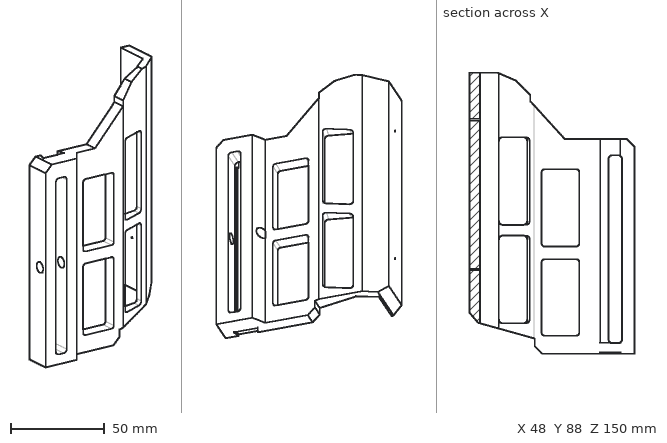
import cadquery as cq

WIDTH = 48.0
DEPTH = 88.0
HEIGHT = 150.0

FLANGE_INNER_Y = 82.4
FLANGE_END_X = 20.8
INNER_BEND = (29.4, 72.5)
OUTER_BEND = (31.6, 76.8)
WEB_INNER_X = 32.8
WEB_OUTER_X = 40.8
WEB_INNER_START_Y = 53.7
WEB_OUTER_START_Y = 55.5
RAIL_RAMP_START_Y = 25.2
RAIL_RAMP_END_Y = 20.4

SHOULDER_Z = 114.6
RAIL_CHAMFER = 4.0
SHOULDER_Y = 37.2
STEP_Y = 55.5
STEP_LOW_Z = 134.7
STEP_HIGH_Z = 138.0
CROWN = (63.3, 145.8)
CROWN_START_Y = 73.0
FLANGE_BOTTOM = (83.4, 16.5)
FLANGE_CHAMFER_TOP_Z = 21.9
FOOT_Y = 53.2
FOOT_TOP_Z = 8.1
FOOT_CHAMFER = 4.0

WEB_WINDOW_Y = (29.5, 49.5)
WEB_WINDOW_ROWS = ((9.8, 50.4), (57.3, 98.4))
WEB_WINDOW_RADIUS = 1.5

SLANT_WINDOW_Y = (56.0, 72.3)
SLANT_WINDOW_ROWS = ((16.4, 63.0), (68.8, 115.5))
SLANT_WINDOW_RADIUS = 2.0

GROOVE_MOUTH_Y = (7.5, 18.3)
GROOVE_FLOOR_Y = (6.0, 19.8)
GROOVE_DEPTH = 4.4
STOP_Z = (0.9, 5.8)

SLOT_Y = (6.8, 13.8)
SLOT_DIP_START_X = 35.7
SLOT_Z = (5.7, 105.9)
SLOT_RADIUS = 2.0

RAIL_HOLE_DIAMETER = 6.0
RAIL_HOLE_X = 42.8
RAIL_HOLE_Z = 55.4
PIN_HOLE_DIAMETER = 0.8
PIN_HOLE_X = 10.5
PIN_HOLE_ROWS = (45.0, 124.8)


def bent_wall():
    """Plan section of flange, bends, web and rail, over the full height."""
    section = [
        (0, DEPTH),
        (FLANGE_END_X, DEPTH),
        OUTER_BEND,
        (WEB_OUTER_X, WEB_OUTER_START_Y),
        (WEB_OUTER_X, RAIL_RAMP_START_Y),
        (WIDTH, RAIL_RAMP_END_Y),
        (WIDTH, 0),
        (WEB_INNER_X, 0),
        (WEB_INNER_X, WEB_INNER_START_Y),
        INNER_BEND,
        (FLANGE_END_X, FLANGE_INNER_Y),
        (0, FLANGE_INNER_Y),
    ]
    return cq.Workplane("XY").polyline(section).close().extrude(HEIGHT)


def side_outline():
    """Side outline, extruded along X to trim the bent wall."""
    outline = [
        (0, 0),
        (FOOT_Y - FOOT_CHAMFER, 0),
        (FOOT_Y, FOOT_CHAMFER),
        (FOOT_Y, FOOT_TOP_Z),
        FLANGE_BOTTOM,
        (DEPTH, FLANGE_CHAMFER_TOP_Z),
        (DEPTH, HEIGHT),
        (CROWN_START_Y, HEIGHT),
        CROWN,
        (STEP_Y, STEP_HIGH_Z),
        (STEP_Y, STEP_LOW_Z),
        (SHOULDER_Y, SHOULDER_Z),
        (RAIL_CHAMFER, SHOULDER_Z),
        (0, SHOULDER_Z - RAIL_CHAMFER),
    ]
    return cq.Workplane("YZ").polyline(outline).close().extrude(WIDTH)


def rounded_cutter(x_range, y_range, z_range, radius):
    """Block whose edges along X are rounded."""
    sizes = [high - low for low, high in (x_range, y_range, z_range)]
    block = cq.Workplane("XY").box(*sizes, centered=False).edges("|X").fillet(radius)
    return block.translate((x_range[0], y_range[0], z_range[0]))


def slanted_window(z_range):
    """Window cutter: near side square to the slanted inner face, far side along X."""
    low_y, high_y = SLANT_WINDOW_Y
    low_z, high_z = z_range
    face_slope = (WEB_INNER_X - INNER_BEND[0]) / (INNER_BEND[1] - WEB_INNER_START_Y)
    near_edge_x = WEB_INNER_X - (low_y - WEB_INNER_START_Y) * face_slope
    start_x = FLANGE_END_X
    section = [
        (start_x, low_y + (start_x - near_edge_x) * face_slope),
        (WIDTH, low_y + (WIDTH - near_edge_x) * face_slope),
        (WIDTH, high_y),
        (start_x, high_y),
    ]
    block = cq.Workplane("XY").workplane(offset=low_z).polyline(section).close().extrude(high_z - low_z)
    return block.edges("not (|Z or |Y)").fillet(SLANT_WINDOW_RADIUS)


def dovetail_groove():
    """Groove that widens toward its floor and runs through both ends of the rail."""
    floor_x = WEB_INNER_X + GROOVE_DEPTH
    section = [
        (WEB_INNER_X, GROOVE_MOUTH_Y[0]),
        (floor_x, GROOVE_FLOOR_Y[0]),
        (floor_x, GROOVE_FLOOR_Y[1]),
        (WEB_INNER_X, GROOVE_MOUTH_Y[1]),
    ]
    return cq.Workplane("XY").polyline(section).close().extrude(HEIGHT)


def stop_block():
    """Block that fills the groove flush with the inner face of the rail."""
    width = GROOVE_FLOOR_Y[1] - GROOVE_FLOOR_Y[0]
    block = cq.Workplane("XY").box(GROOVE_DEPTH, width, STOP_Z[1] - STOP_Z[0], centered=False)
    return block.translate((WEB_INNER_X, GROOVE_FLOOR_Y[0], STOP_Z[0]))


def slot(start_x):
    """Slot cutter running from start_x out through the back of the rail."""
    return rounded_cutter((start_x, WIDTH), SLOT_Y, SLOT_Z, SLOT_RADIUS)


def hole_along_y(x, z, diameter, y_range):
    """Cylinder along Y between two Y positions."""
    low_y, high_y = y_range
    start = cq.Vector(x, low_y, z)
    drill = cq.Solid.makeCylinder(diameter / 2, high_y - low_y, start, cq.Vector(0, 1, 0))
    return cq.Workplane(drill)


result = bent_wall().intersect(side_outline())

for row in WEB_WINDOW_ROWS:
    result = result.cut(rounded_cutter((WEB_INNER_X, WIDTH), WEB_WINDOW_Y, row, WEB_WINDOW_RADIUS))

for row in SLANT_WINDOW_ROWS:
    result = result.cut(slanted_window(row))

result = result.cut(dovetail_groove()).cut(slot(WEB_INNER_X))
result = result.union(stop_block()).cut(slot(SLOT_DIP_START_X))

rail_hole_reach = (0, RAIL_RAMP_START_Y)
result = result.cut(hole_along_y(RAIL_HOLE_X, RAIL_HOLE_Z, RAIL_HOLE_DIAMETER, rail_hole_reach))

pin_hole_reach = (FLANGE_INNER_Y, DEPTH)
for z in PIN_HOLE_ROWS:
    result = result.cut(hole_along_y(PIN_HOLE_X, z, PIN_HOLE_DIAMETER, pin_hole_reach))